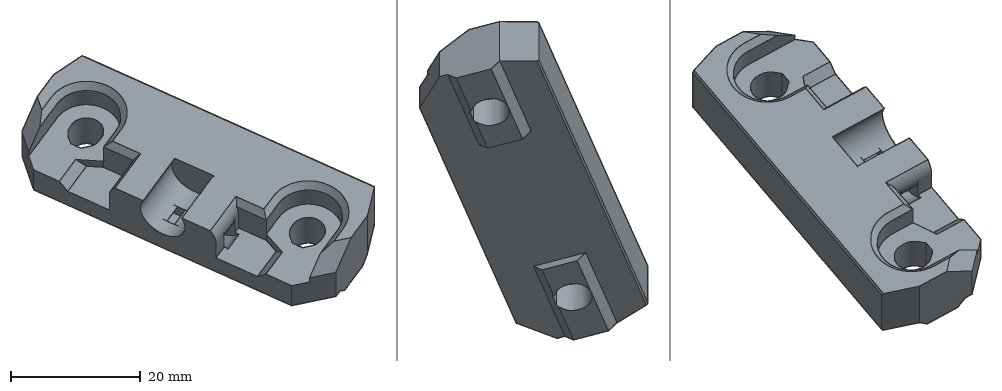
import cadquery as cq
import math

length = 56.0
depth = 20.5
total_height = 10.8
keel_drop = 1.4
top = total_height - keel_drop
front_corner = 5.0
back_corner_x = 2.0
back_corner_y = 5.7
back_edge_chamfer = 0.3
half = length / 2

facet_start_y = 9.75
facet_drop = 3.5

keel_length = 15.0
keel_back_y = depth - back_corner_y
keel_width = 8.5

screw_x = 19.75
screw_y = 10.75
seat_radius = 5.25
seat_drop = 4.5
rim_chamfer = 1.0
hole_radius = 2.65
hole_stretch = 0.55
hole_flat_reach = 3.35
seat_floor = top - seat_drop

groove_radius = 4.0
groove_drop = 6.0
groove_length = 9.75
groove_axis_z = top - groove_drop + groove_radius
pocket_floor = top - groove_drop

pocket_inner_x = 9.5
pocket_outer_x = 18.4
pocket_back_y = 6.9
pocket_side_y = 5.05
pocket_slope = seat_floor - pocket_floor
pocket_edge_radius = 3.5
pocket_edge_drop = 2.45

strap_front_y = 2.5
strap_width = 3.3
strap_thickness = 2.0


def extrude_up(outline, bottom_z, top_z):
    """Prism over an XY outline between two heights."""
    return outline.extrude(top_z - bottom_z).translate((0, 0, bottom_z))


def extrude_back(outline, start_y, end_y):
    """Prism over an XZ outline between two depths."""
    return outline.extrude(start_y - end_y).translate((0, start_y, 0))


def make_plate():
    right_side = [
        (half - front_corner, 0),
        (half, front_corner),
        (half, depth - back_corner_y),
        (half - back_corner_x, depth),
    ]
    left_side = [(-x, y) for x, y in reversed(right_side)]
    outline = cq.Workplane("XY").polyline(right_side + left_side).close()
    plate = extrude_up(outline, 0, top)
    return plate.faces(">Y").edges("|X").chamfer(back_edge_chamfer)


def make_keel():
    front_y = keel_back_y - keel_width
    profile = [
        (front_y, 0),
        (front_y + keel_drop, -keel_drop),
        (keel_back_y - keel_drop, -keel_drop),
        (keel_back_y, 0),
    ]
    keel = cq.Workplane("YZ").polyline(profile).close().extrude(keel_length)
    return keel.translate((-half, 0, 0))


def make_corner_facet():
    """Wedge above the sloped facet, at 45 degrees across the left front corner and oversized outward."""
    facet_width = (facet_start_y - front_corner) / math.sqrt(2)
    wedge = (
        cq.Workplane("XZ")
        .polyline([(0, 0), (-2 * facet_width, 0), (-2 * facet_width, -2 * facet_drop)])
        .close()
        .extrude(depth, both=True)
    )
    return wedge.rotate((0, 0, 0), (0, 0, 1), 45).translate((-half, facet_start_y, top))


def make_seat():
    profile = [
        (0, seat_floor),
        (seat_radius, seat_floor),
        (seat_radius, top - rim_chamfer),
        (seat_radius + rim_chamfer, top),
        (0, top),
    ]
    round_end = cq.Workplane("XZ").polyline(profile).close().revolve(360, (0, 0), (0, 1))
    mirrored = [(-x, z) for x, z in reversed(profile[1:-1])]
    channel = extrude_back(cq.Workplane("XZ").polyline(profile[1:-1] + mirrored).close(), -screw_y, 0)
    return round_end.union(channel).translate((-screw_x, screw_y, 0))


def make_screw_hole():
    """Stretched hole whose front end narrows at 45 degrees to a flat."""
    diagonal = hole_radius / math.sqrt(2)
    flat_half = hole_radius * math.sqrt(2) + hole_stretch - hole_flat_reach
    lower_arc_mid = (
        hole_radius * math.cos(math.pi / 8),
        -hole_stretch - hole_radius * math.sin(math.pi / 8),
    )
    outline = (
        cq.Workplane("XY")
        .moveTo(hole_radius, 0)
        .threePointArc((0, hole_radius), (-hole_radius, 0))
        .lineTo(-hole_radius, -hole_stretch)
        .threePointArc((-lower_arc_mid[0], lower_arc_mid[1]), (-diagonal, -hole_stretch - diagonal))
        .lineTo(-flat_half, -hole_flat_reach)
        .lineTo(flat_half, -hole_flat_reach)
        .lineTo(diagonal, -hole_stretch - diagonal)
        .threePointArc(lower_arc_mid, (hole_radius, -hole_stretch))
        .close()
    )
    return extrude_up(outline, -keel_drop, seat_floor).translate((-screw_x, screw_y, 0))


def make_pocket():
    edge_run = pocket_edge_radius - math.sqrt(pocket_edge_radius**2 - pocket_edge_drop**2)
    mid_drop = pocket_edge_drop / 2
    mid_run = pocket_edge_radius - math.sqrt(pocket_edge_radius**2 - mid_drop**2)
    side_outline = (
        cq.Workplane("XZ")
        .moveTo(-screw_x, seat_floor)
        .lineTo(-pocket_inner_x, seat_floor)
        .lineTo(-pocket_inner_x, top - pocket_edge_drop)
        .threePointArc(
            (-pocket_inner_x + mid_run, top - pocket_edge_drop + mid_drop),
            (-pocket_inner_x + edge_run, top),
        )
        .lineTo(-screw_x, top)
        .close()
    )
    back_profile = [
        (0, seat_floor),
        (pocket_back_y, seat_floor),
        (pocket_back_y, top - rim_chamfer),
        (pocket_back_y + rim_chamfer, top),
        (0, top),
    ]
    back_limit = cq.Workplane("YZ").polyline(back_profile).close().extrude(-half)
    upper = extrude_back(side_outline, 0, depth).intersect(back_limit)

    plan = [
        (-pocket_inner_x, 0),
        (-pocket_inner_x, pocket_back_y),
        (-screw_x + seat_radius, pocket_back_y),
        (-pocket_outer_x, pocket_side_y),
        (-pocket_outer_x, 0),
    ]
    slope_profile = [
        (-pocket_inner_x, pocket_floor),
        (-pocket_outer_x + pocket_slope, pocket_floor),
        (-pocket_outer_x, seat_floor),
        (-pocket_inner_x, seat_floor),
    ]
    slope_limit = extrude_back(cq.Workplane("XZ").polyline(slope_profile).close(), 0, depth)
    lower = extrude_up(cq.Workplane("XY").polyline(plan).close(), pocket_floor, seat_floor)
    return upper.union(lower.intersect(slope_limit))


def make_groove():
    outline = cq.Workplane("XZ").center(0, groove_axis_z).circle(groove_radius)
    return extrude_back(outline, 0, groove_length)


def make_strap_passage():
    axis_x = pocket_inner_x - pocket_edge_radius
    axis_z = top - pocket_edge_drop

    def rounded_bar(radius):
        """Bar with a flat bottom and quarter-round ends, hanging below the corner axes."""
        diagonal = radius / math.sqrt(2)
        outline = (
            cq.Workplane("XZ")
            .moveTo(-axis_x - radius, axis_z)
            .threePointArc((-axis_x - diagonal, axis_z - diagonal), (-axis_x, axis_z - radius))
            .lineTo(axis_x, axis_z - radius)
            .threePointArc((axis_x + diagonal, axis_z - diagonal), (axis_x + radius, axis_z))
            .close()
        )
        return extrude_back(outline, strap_front_y, strap_front_y + strap_width)

    return rounded_bar(pocket_edge_radius + strap_thickness).cut(rounded_bar(pocket_edge_radius))


def both_ends(body):
    return body.union(body.mirror("YZ"))


result = make_plate().union(both_ends(make_keel()))
for make_cutter in (make_corner_facet, make_seat, make_screw_hole, make_pocket):
    result = result.cut(both_ends(make_cutter()))
result = result.cut(make_groove()).cut(make_strap_passage())